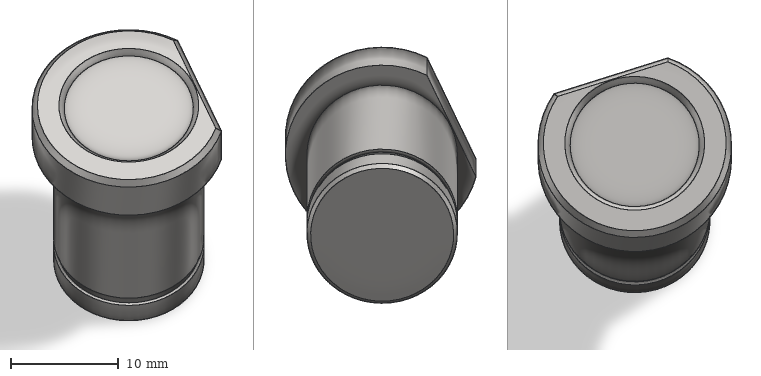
import cadquery as cq

total_length = 25.0

head_diameter = 18.0
head_height = 5.0
head_chamfer = 0.5
flat_distance = 7.07

recess_mouth_diameter = 13.0
recess_depth = 0.5
recess_taper_angle = 45.0

shank_diameter = 14.0
shank_end_chamfer = 0.35
shank_length = total_length - head_height

groove_bottom = 2.8
groove_width = 1.15
groove_depth = 0.3


def make_shank():
    """Plain cylinder with a chamfered lower edge, standing on Z = 0."""
    shank = cq.Workplane("XY").circle(shank_diameter / 2).extrude(shank_length)
    return shank.faces("<Z").edges().chamfer(shank_end_chamfer)


def make_groove():
    """Ring that cuts the rectangular groove around the shank."""
    return (
        cq.Workplane("XY")
        .workplane(offset=groove_bottom)
        .circle(shank_diameter / 2)
        .circle(shank_diameter / 2 - groove_depth)
        .extrude(groove_width)
    )


def make_head():
    """Round head with one flat side and a chamfer around its whole top edge."""
    head_radius = head_diameter / 2
    flat_to_far_side = head_radius + flat_distance
    head = cq.Workplane("XY").workplane(offset=shank_length).circle(head_radius).extrude(head_height)
    kept_side = (
        cq.Workplane("XY")
        .workplane(offset=shank_length)
        .center(0, flat_distance - flat_to_far_side / 2)
        .rect(head_diameter, flat_to_far_side)
        .extrude(head_height)
    )
    return head.intersect(kept_side).faces(">Z").edges().chamfer(head_chamfer)


def make_recess():
    """Cone frustum that narrows downward from the top face."""
    return (
        cq.Workplane("XY")
        .workplane(offset=total_length)
        .circle(recess_mouth_diameter / 2)
        .extrude(-recess_depth, taper=recess_taper_angle)
    )


result = make_shank().cut(make_groove()).union(make_head()).cut(make_recess())